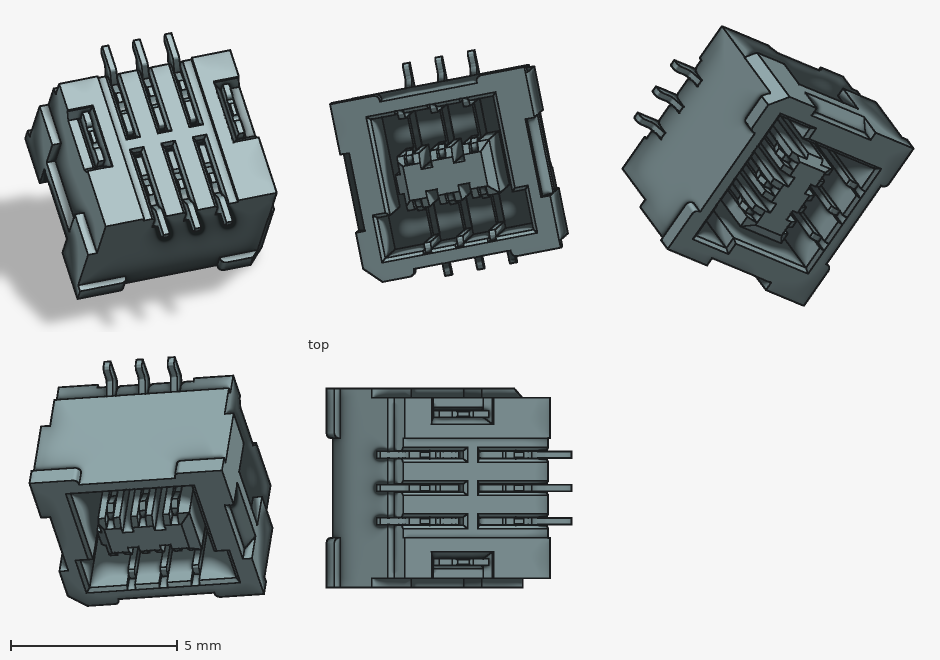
import cadquery as cq


TILT = 28.0
FAR = 14.76

HALF_LENGTH = 2.78
WIDTH = 6.0
HALF_WIDTH = WIDTH / 2
WALL_X = 2.575
LEDGE_Z = 3.56
LEDGE_DEPTH = 0.21
HOUSING_TOP = 4.26
CENTRE_DROP = 0.12
CENTRE_TOP = HOUSING_TOP - CENTRE_DROP
CENTRE_HALF_WIDTH = 1.5
FOOT_HEIGHT = 0.51
FOOT_EDGE_RADIUS = 0.16
CORNER_CUT = 0.5

SIDE_RECESS = 0.28
SIDE_STEP_Z = 2.51
NARROW_HALF_WIDTH = HALF_WIDTH - SIDE_RECESS
SIDE_FEATURE_LEFT = -1.23
SIDE_FEATURE_RIGHT = 1.17
SIDE_NOTCH_Z = 1.36
WINDOW_STRAIGHT_Z = 0.405
WINDOW_TOP_Z = 0.9

MOUTH_HALF_LENGTH = 2.21
MOUTH_STEP_X = 0.745
MOUTH_HALF_NARROW = 2.0
MOUTH_HALF_WIDE = 2.4
LEAD_IN = 0.11
SOCKET_DEPTH = 2.95
TONGUE_HALF_LENGTH = 0.83
TONGUE_HALF_WIDTH = 1.5
TONGUE_TIP_INSET = 0.295
TONGUE_TIP_HEIGHT = 0.185
KEY_HALF_LENGTH = 0.295
KEY_START_Y = 1.34
GROOVE_WIDTH = 0.34
TONGUE_WEB = 0.68

ROW_SPAN = 2.0
PITCH = ROW_SPAN / 2
ROWS = [-PITCH, 0.0, PITCH]
SLOT_WIDTH = 0.25
SLOT_INNER_X = 0.265
SLOT_CHAMFER = 0.095
TONGUE_SLOT_X = TONGUE_HALF_LENGTH - TONGUE_TIP_INSET

CONTACT_WIDTH = 0.2
BAR_BOTTOM = 3.25
TAIL_END_X = 3.26
TAIL_TOP = 4.35
TAIL_BOTTOM = 4.02
TAIL_ROOT_X = 2.53
PLATE_Z = 4.015
PLATE_TOP = 4.07
PLATE_END_X = 0.405
WALL_LEG_FRONT_X = 1.905
TONGUE_LEG_FRONT_X = 0.715
CONTACT_NUB_HEIGHT = 0.09
CONTACT_NUB_BEVEL = 0.02

NAIL_X = -0.4
NAIL_Y = 2.23
NAIL_WIDTH = 0.2
NAIL_HALF_LENGTH = 0.85
NAIL_TOP = 4.34
NAIL_SADDLE = 4.25
NAIL_BOTTOM = 3.25
NAIL_NUB_HEIGHT = 0.06
NAIL_NUB_BEVEL = 0.04
POCKET_FLOOR = 3.96
POCKET_SLOPE = 0.21
NAIL_LEAD_IN = 0.095


def box(x0, x1, y0, y1, z0, z1):
    """Block between two opposite corners."""
    return cq.Workplane("XY").box(x1 - x0, y1 - y0, z1 - z0, centered=False).translate((x0, y0, z0))


def frustum(bottom_points, z0, top_points, z1):
    """Straight-sided solid between two outlines with the same number of corners."""
    wires = [
        cq.Wire.makePolygon([cq.Vector(x, y, z) for x, y in points], close=True)
        for points, z in ((bottom_points, z0), (top_points, z1))
    ]
    return cq.Workplane(obj=cq.Solid.makeLoft(wires, True))


def rectangle(x0, x1, y0, y1):
    return [(x0, y0), (x1, y0), (x1, y1), (x0, y1)]


def prism_along_y(xz_points, y0, y1):
    sketch = cq.Workplane("XZ", origin=(0, y0, 0)).polyline(xz_points).close()
    return sketch.extrude(y0 - y1)


def prism_along_x(yz_points, x0, x1):
    sketch = cq.Workplane("YZ", origin=(x0, 0, 0)).polyline(yz_points).close()
    return sketch.extrude(x1 - x0)


def both_x(half):
    return half.union(half.mirror("YZ"))


def both_y(half):
    return half.union(half.mirror("XZ"))



def corner_feet():
    """Feet past the end walls; the vertical edge nearest the middle is rounded."""
    foot = box(0, HALF_LENGTH, CENTRE_HALF_WIDTH, HALF_WIDTH, 0, FOOT_HEIGHT)
    foot = foot.edges("|Z and >X and <Y").fillet(FOOT_EDGE_RADIUS)
    return both_y(both_x(foot))


def housing_shell():
    body = box(-WALL_X, WALL_X, -HALF_WIDTH, HALF_WIDTH, 0, SIDE_STEP_Z)
    body = body.union(box(-WALL_X, WALL_X, -NARROW_HALF_WIDTH, NARROW_HALF_WIDTH, 0, HOUSING_TOP))
    body = body.union(corner_feet())
    body = body.cut(box(-WALL_X, LEDGE_DEPTH - WALL_X, -FAR, FAR, LEDGE_Z, FAR))
    body = body.cut(box(-FAR, FAR, -CENTRE_HALF_WIDTH, CENTRE_HALF_WIDTH, CENTRE_TOP, FAR))
    corner = [
        (HALF_LENGTH - CORNER_CUT, HALF_WIDTH),
        (HALF_LENGTH, HALF_WIDTH),
        (HALF_LENGTH, HALF_WIDTH - CORNER_CUT),
    ]
    return body.cut(cq.Workplane("XY").polyline(corner).close().extrude(SIDE_STEP_Z))


def side_recesses():
    """A notch above and a sloping window below in each side wall."""
    notch = box(
        SIDE_FEATURE_LEFT, SIDE_FEATURE_RIGHT, NARROW_HALF_WIDTH, HALF_WIDTH, SIDE_NOTCH_Z, SIDE_STEP_Z
    )
    window_section = [
        (HALF_WIDTH, 0),
        (NARROW_HALF_WIDTH, 0),
        (NARROW_HALF_WIDTH, WINDOW_STRAIGHT_Z),
        (HALF_WIDTH, WINDOW_TOP_Z),
    ]
    window = prism_along_x(window_section, SIDE_FEATURE_LEFT, SIDE_FEATURE_RIGHT)
    return both_y(notch.union(window))


def mouth_outline(inset):
    """T-shaped socket outline, moved inward by `inset`."""
    end = MOUTH_HALF_LENGTH - inset
    step = MOUTH_STEP_X + inset
    narrow = MOUTH_HALF_NARROW - inset
    wide = MOUTH_HALF_WIDE - inset
    return [
        (-end, -narrow), (step, -narrow), (step, -wide), (end, -wide),
        (end, wide), (step, wide), (step, narrow), (-end, narrow),
    ]


def socket():
    lead_in = frustum(mouth_outline(0), 0, mouth_outline(LEAD_IN), LEAD_IN)
    cavity = cq.Workplane("XY").polyline(mouth_outline(LEAD_IN)).close().extrude(SOCKET_DEPTH)
    return cavity.union(lead_in)


def tongue():
    """Post in the socket, tapered at its tip, with grooves between rows and a thin key at +Y."""
    full = rectangle(-TONGUE_HALF_LENGTH, TONGUE_HALF_LENGTH, -TONGUE_HALF_WIDTH, TONGUE_HALF_WIDTH)
    tip_x = TONGUE_HALF_LENGTH - TONGUE_TIP_INSET
    tip_y = TONGUE_HALF_WIDTH - TONGUE_TIP_INSET
    tip = rectangle(-tip_x, tip_x, -tip_y, tip_y)
    post = frustum(tip, 0, full, TONGUE_TIP_HEIGHT)
    upper = cq.Workplane("XY", origin=(0, 0, TONGUE_TIP_HEIGHT)).polyline(full).close()
    post = post.union(upper.extrude(SOCKET_DEPTH - TONGUE_TIP_HEIGHT))
    beside_key = both_x(box(KEY_HALF_LENGTH, FAR, KEY_START_Y, FAR, 0, SOCKET_DEPTH))
    post = post.cut(beside_key)
    for y in (-PITCH / 2, PITCH / 2):
        groove = box(TONGUE_WEB / 2, FAR, y - GROOVE_WIDTH / 2, y + GROOVE_WIDTH / 2, 0, SOCKET_DEPTH)
        post = post.cut(both_x(groove))
    return post


def contact_slot():
    """Space for the contact in one row: top slots, cross-bar tunnel, wall slots and tongue slots."""
    half = SLOT_WIDTH / 2
    chamfer_z = CENTRE_TOP - SLOT_CHAMFER
    wide = half + SLOT_CHAMFER
    top_slot = box(SLOT_INNER_X, FAR, -half, half, LEDGE_Z, CENTRE_TOP)
    chamfer = frustum(
        rectangle(SLOT_INNER_X, FAR, -half, half), chamfer_z,
        rectangle(SLOT_INNER_X - SLOT_CHAMFER, FAR, -wide, wide), CENTRE_TOP,
    )
    tunnel = box(-MOUTH_HALF_LENGTH, MOUTH_HALF_LENGTH, -half, half, BAR_BOTTOM, LEDGE_Z)
    leg_slot = box(TONGUE_SLOT_X, MOUTH_HALF_LENGTH, -half, half, 0, BAR_BOTTOM)
    return both_x(top_slot.union(chamfer).union(leg_slot)).union(tunnel)


def nail_pocket():
    """Open-sided pocket around the +Y nail; its end and inner walls slope in towards the floor."""
    slope_top = POCKET_FLOOR + POCKET_SLOPE
    half_top = NAIL_HALF_LENGTH + POCKET_SLOPE
    lengthwise = [
        (NAIL_X - half_top, HOUSING_TOP),
        (NAIL_X - half_top, slope_top),
        (NAIL_X - NAIL_HALF_LENGTH, POCKET_FLOOR),
        (NAIL_X + NAIL_HALF_LENGTH, POCKET_FLOOR),
        (NAIL_X + half_top, slope_top),
        (NAIL_X + half_top, HOUSING_TOP),
    ]
    inner_y = NAIL_Y - NAIL_WIDTH / 2
    outer_y = NAIL_Y + NAIL_WIDTH / 2
    crosswise = [
        (inner_y - POCKET_SLOPE, HOUSING_TOP),
        (inner_y - POCKET_SLOPE, slope_top),
        (inner_y, POCKET_FLOOR),
        (HALF_WIDTH, POCKET_FLOOR),
        (HALF_WIDTH, HOUSING_TOP),
    ]
    pocket = prism_along_y(lengthwise, 0, HALF_WIDTH).intersect(prism_along_x(crosswise, -FAR, FAR))
    lead_in_section = [
        (outer_y, POCKET_FLOOR),
        (outer_y + NAIL_LEAD_IN, POCKET_FLOOR),
        (outer_y, POCKET_FLOOR - NAIL_LEAD_IN),
    ]
    left = NAIL_X - NAIL_HALF_LENGTH
    right = NAIL_X + NAIL_HALF_LENGTH
    lead_in = prism_along_x(lead_in_section, left, right)
    slot = box(left, right, inner_y, outer_y, NAIL_BOTTOM, POCKET_FLOOR)
    return pocket.union(lead_in).union(slot)


def make_housing():
    body = housing_shell().cut(side_recesses()).cut(socket()).union(tongue())
    slot = contact_slot()
    for y in ROWS:
        body = body.cut(slot.translate((0, y, 0)))
    return body.cut(both_y(nail_pocket()))



def bevel_nub(plate, x0, x1, z_top, width, bevel):
    """Bevel both long top edges of a nub between x0 and x1."""
    edge = width / 2
    section = [(edge, z_top), (edge - bevel, z_top), (edge, z_top - bevel)]
    return plate.cut(both_y(prism_along_x(section, x0, x1)))


def make_contact():
    """Flat contact: two tails, two socket legs and two tongue legs on one cross bar."""
    nub_top = PLATE_Z + CONTACT_NUB_HEIGHT
    wall_leg_tip = 0.465
    tongue_leg_tip = 0.39
    nub_foot_inner, nub_inner, nub_outer, nub_foot_outer = 1.19, 1.45, 1.765, 2.05
    half = (
        cq.Workplane("XZ", origin=(0, CONTACT_WIDTH / 2, 0))
        .moveTo(0, LEDGE_Z)
        .lineTo(PLATE_END_X, LEDGE_Z)
        .lineTo(PLATE_END_X, 3.99)
        .threePointArc((0.435, 4.045), (0.51, PLATE_TOP))
        .lineTo(1.07, PLATE_TOP)
        .lineTo(nub_foot_inner, PLATE_Z)
        .threePointArc((1.33, 4.04), (nub_inner, nub_top))
        .lineTo(nub_outer, nub_top)
        .threePointArc((1.905, 4.04), (nub_foot_outer, PLATE_Z))
        .lineTo(2.09, PLATE_Z)
        .lineTo(2.37, 4.295)
        .threePointArc((2.42, 4.33), (2.49, TAIL_TOP))
        .lineTo(TAIL_END_X, TAIL_TOP)
        .lineTo(TAIL_END_X, 4.18)
        .threePointArc((3.22, 4.07), (3.11, TAIL_BOTTOM))
        .lineTo(2.915, TAIL_BOTTOM)
        .threePointArc((2.82, 4.01), (2.745, 3.94))
        .lineTo(2.575, 3.64)
        .lineTo(TAIL_ROOT_X, LEDGE_Z)
        .lineTo(MOUTH_HALF_LENGTH, LEDGE_Z)
        .lineTo(MOUTH_HALF_LENGTH, wall_leg_tip)
        .lineTo(2.09, wall_leg_tip)
        .threePointArc((1.96, 0.495), (WALL_LEG_FRONT_X, 0.57))
        .lineTo(WALL_LEG_FRONT_X, BAR_BOTTOM)
        .lineTo(TONGUE_LEG_FRONT_X, BAR_BOTTOM)
        .lineTo(TONGUE_LEG_FRONT_X, 1.18)
        .lineTo(0.92, 0.7)
        .lineTo(0.79, 0.435)
        .threePointArc((0.74, 0.405), (0.65, tongue_leg_tip))
        .lineTo(TONGUE_SLOT_X, tongue_leg_tip)
        .lineTo(TONGUE_SLOT_X, BAR_BOTTOM)
        .lineTo(0, BAR_BOTTOM)
        .close()
        .extrude(CONTACT_WIDTH)
    )
    return both_x(bevel_nub(half, nub_inner, nub_outer, nub_top, CONTACT_WIDTH, CONTACT_NUB_BEVEL))


def make_nail():
    """Upright plate with a saddle in its top edge and a nub in the middle of the saddle."""
    nub_top = NAIL_SADDLE + NAIL_NUB_HEIGHT
    nub_half = 0.2
    nub_foot = 0.33
    half = (
        cq.Workplane("XZ", origin=(0, NAIL_WIDTH / 2, 0))
        .moveTo(0, NAIL_BOTTOM)
        .lineTo(NAIL_HALF_LENGTH, NAIL_BOTTOM)
        .lineTo(NAIL_HALF_LENGTH, NAIL_TOP)
        .lineTo(0.495, NAIL_TOP)
        .threePointArc((0.42, 4.31), (0.36, NAIL_SADDLE))
        .lineTo(nub_foot, NAIL_SADDLE)
        .threePointArc((0.26, 4.265), (nub_half, nub_top))
        .lineTo(0, nub_top)
        .close()
        .extrude(NAIL_WIDTH)
    )
    return both_x(bevel_nub(half, 0, nub_foot, nub_top, NAIL_WIDTH, NAIL_NUB_BEVEL))



housing = make_housing().val()
contacts = [make_contact().translate((0, y, 0)).val() for y in ROWS]
nails = [make_nail().translate((NAIL_X, y, 0)).val() for y in (-NAIL_Y, NAIL_Y)]
upright = cq.Compound.makeCompound([housing, *contacts, *nails])
result = upright.rotate(cq.Vector(0, 0, 0), cq.Vector(0, 1, 0), TILT)